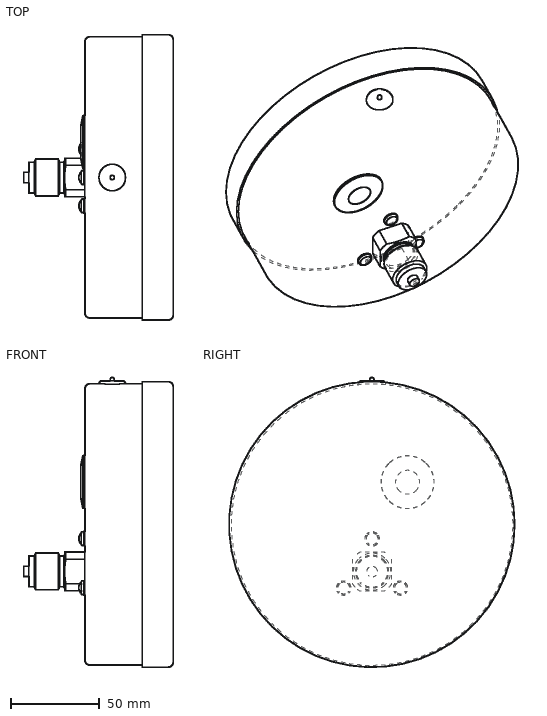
import cadquery as cq
import math


CASE_DIAMETER = 159.0
BEZEL_DIAMETER = 161.3
CASE_DEPTH = 50.0
BEZEL_WIDTH = 17.6
CASE_EDGE_RADIUS = 3.0

STEM_Z = -26.5
SQUARE_ACROSS_FLATS = 22.0
SQUARE_CORNER_DIAMETER = 26.0
SQUARE_LENGTH = 11.4
SQUARE_FACE_DIAMETER = 21.6
SQUARE_CHAMFER_LENGTH = 0.7
THREAD_DIAMETER = 20.96
RELIEF_DIAMETER = 17.5
RELIEF_FLARE = 0.6
THREAD_START = 15.1
THREAD_END = 28.5
THREAD_TAPER_LENGTH = 0.9
SHOULDER_END = 31.5
TIP_DIAMETER = 6.0
STEM_LENGTH = 34.5

SCREW_COUNT = 3
FIRST_SCREW_ANGLE = 90.0
SCREW_CIRCLE_RADIUS = 18.5
SCREW_FLANGE_DIAMETER = 8.2
SCREW_FLANGE_HEIGHT = 0.65
SCREW_HEAD_DIAMETER = 8.0
SCREW_RIM_HEIGHT = 1.2
SCREW_EDGE_RADIUS = 0.7
SCREW_HEIGHT = 3.4

PLUG_Y = 20.0
PLUG_Z = 24.0
PLUG_DIAMETER = 30.0
PLUG_FLANGE_HEIGHT = 0.5
PLUG_RIM_DIAMETER = 29.7
PLUG_RIM_HEIGHT = 1.1
PLUG_HEIGHT = 2.4
PLUG_TOP_DIAMETER = 17.5
PLUG_DISH_DIAMETER = 13.5
PLUG_DISH_DEPTH = 0.2

BUTTON_X = 15.5
BUTTON_DIAMETER = 15.0
BUTTON_EDGE_RADIUS = 1.5
BUTTON_TOP_Z = CASE_DIAMETER / 2 + BUTTON_EDGE_RADIUS
BUTTON_ROOT_DEPTH = 2.0
PIN_DIAMETER = 2.5
PIN_TOP_Z = 82.95

OVERLAP = 1.0


def profile_plane(y, z):
    """Workplane with local x = radius along +Z and local y = distance out of the case back (-X)."""
    return cq.Workplane(cq.Plane(origin=(0, y, z), xDir=(0, 0, 1), normal=(0, -1, 0)))


def turned(profile):
    """Close a profile drawn on profile_plane and revolve it about its local y axis."""
    return profile.close().revolve(360, (0, 0, 0), (0, 1, 0))


def make_case():
    body = cq.Workplane("YZ").circle(CASE_DIAMETER / 2).extrude(CASE_DEPTH - BEZEL_WIDTH)
    body = body.faces("<X").edges().fillet(CASE_EDGE_RADIUS)
    bezel = cq.Workplane("YZ", origin=(CASE_DEPTH - BEZEL_WIDTH, 0, 0))
    bezel = bezel.circle(BEZEL_DIAMETER / 2).extrude(BEZEL_WIDTH)
    bezel = bezel.faces(">X").edges().fillet(CASE_EDGE_RADIUS)
    return body.union(bezel)


def make_stem():
    square = cq.Workplane("YZ", origin=(OVERLAP, 0, STEM_Z))
    square = square.rect(SQUARE_ACROSS_FLATS, SQUARE_ACROSS_FLATS).extrude(-SQUARE_LENGTH - OVERLAP)
    corner_radius = SQUARE_CORNER_DIAMETER / 2
    chamfered_bar = turned(
        profile_plane(0, STEM_Z)
        .moveTo(0, -OVERLAP)
        .lineTo(corner_radius, -OVERLAP)
        .lineTo(corner_radius, SQUARE_LENGTH - SQUARE_CHAMFER_LENGTH)
        .lineTo(SQUARE_FACE_DIAMETER / 2, SQUARE_LENGTH)
        .lineTo(0, SQUARE_LENGTH)
    )

    thread_radius = THREAD_DIAMETER / 2
    relief_radius = RELIEF_DIAMETER / 2
    tip_radius = TIP_DIAMETER / 2
    turned_part = turned(
        profile_plane(0, STEM_Z)
        .moveTo(0, 0)
        .lineTo(relief_radius + RELIEF_FLARE, 0)
        .lineTo(relief_radius + RELIEF_FLARE, SQUARE_LENGTH)
        .lineTo(relief_radius, SQUARE_LENGTH + RELIEF_FLARE)
        .lineTo(relief_radius, THREAD_START - THREAD_TAPER_LENGTH)
        .lineTo(thread_radius, THREAD_START)
        .lineTo(thread_radius, THREAD_END - THREAD_TAPER_LENGTH)
        .lineTo(relief_radius, THREAD_END)
        .lineTo(relief_radius, SHOULDER_END)
        .lineTo(tip_radius, SHOULDER_END)
        .lineTo(tip_radius, STEM_LENGTH)
        .lineTo(0, STEM_LENGTH)
    )
    return square.intersect(chamfered_bar).union(turned_part)


def make_screw(index):
    angle = math.radians(FIRST_SCREW_ANGLE + index * 360 / SCREW_COUNT)
    y = SCREW_CIRCLE_RADIUS * math.cos(angle)
    z = STEM_Z + SCREW_CIRCLE_RADIUS * math.sin(angle)
    flange_radius = SCREW_FLANGE_DIAMETER / 2
    head_radius = SCREW_HEAD_DIAMETER / 2
    dome_base_radius = head_radius - SCREW_EDGE_RADIUS
    dome_base_height = SCREW_RIM_HEIGHT + SCREW_EDGE_RADIUS
    arc_offset = SCREW_EDGE_RADIUS * math.sqrt(0.5)
    edge_middle = (
        dome_base_radius + arc_offset,
        SCREW_RIM_HEIGHT + arc_offset,
    )

    dome_height = SCREW_HEIGHT - dome_base_height
    dome_radius = (dome_base_radius**2 + dome_height**2) / (2 * dome_height)
    half_angle = math.asin(dome_base_radius / dome_radius) / 2
    dome_middle = (
        dome_radius * math.sin(half_angle),
        SCREW_HEIGHT - dome_radius * (1 - math.cos(half_angle)),
    )
    return turned(
        profile_plane(y, z)
        .moveTo(0, -OVERLAP)
        .lineTo(flange_radius, -OVERLAP)
        .lineTo(flange_radius, SCREW_FLANGE_HEIGHT)
        .lineTo(head_radius, SCREW_FLANGE_HEIGHT)
        .lineTo(head_radius, SCREW_RIM_HEIGHT)
        .threePointArc(edge_middle, (dome_base_radius, dome_base_height))
        .threePointArc(dome_middle, (0, SCREW_HEIGHT))
    )


def make_plug():
    return turned(
        profile_plane(PLUG_Y, PLUG_Z)
        .moveTo(0, -OVERLAP)
        .lineTo(PLUG_DIAMETER / 2, -OVERLAP)
        .lineTo(PLUG_DIAMETER / 2, PLUG_FLANGE_HEIGHT)
        .lineTo(PLUG_RIM_DIAMETER / 2, PLUG_FLANGE_HEIGHT)
        .lineTo(PLUG_RIM_DIAMETER / 2, PLUG_RIM_HEIGHT)
        .lineTo(PLUG_TOP_DIAMETER / 2, PLUG_HEIGHT)
        .lineTo(PLUG_DISH_DIAMETER / 2, PLUG_HEIGHT)
        .lineTo(PLUG_DISH_DIAMETER / 2, PLUG_HEIGHT - PLUG_DISH_DEPTH)
        .lineTo(0, PLUG_HEIGHT - PLUG_DISH_DEPTH)
    )


def make_vent_button():
    root_z = CASE_DIAMETER / 2 - BUTTON_ROOT_DEPTH
    base = cq.Workplane("XY", origin=(BUTTON_X, 0, root_z))
    button = base.circle(BUTTON_DIAMETER / 2).extrude(BUTTON_TOP_Z - root_z)
    button = button.faces(">Z").edges().fillet(BUTTON_EDGE_RADIUS)
    ball_z = PIN_TOP_Z - PIN_DIAMETER / 2
    pin = base.circle(PIN_DIAMETER / 2).extrude(ball_z - root_z)
    ball = cq.Workplane("XY", origin=(BUTTON_X, 0, ball_z)).sphere(PIN_DIAMETER / 2)
    return button.union(pin).union(ball)


result = make_case().union(make_stem()).union(make_plug()).union(make_vent_button())
for screw_index in range(SCREW_COUNT):
    result = result.union(make_screw(screw_index))